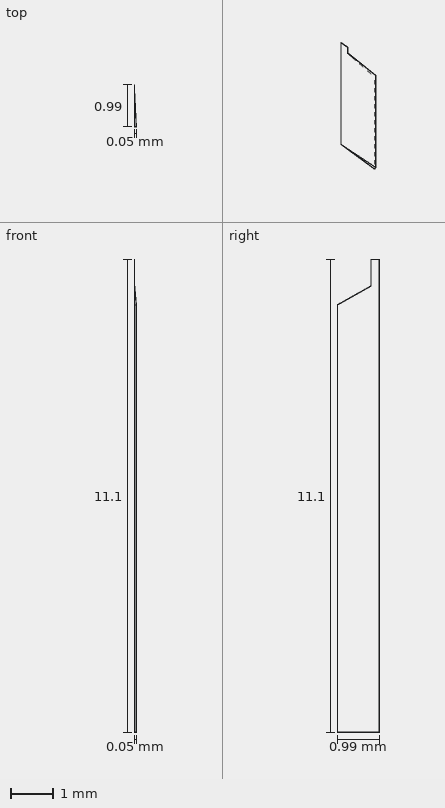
import cadquery as cq

spine_thickness = 0.05
width = 0.99
length = 11.14

tab_width = 0.2
tab_length = 0.62
shoulder_drop = 0.45

flat_face = -spine_thickness / 2
back = width / 2
front = -width / 2
bottom = -length / 2
top = length / 2
tab_front = back - tab_width
shoulder_top = top - tab_length
shoulder_bottom = shoulder_top - shoulder_drop

wedge = (
    cq.Workplane("XY", origin=(0, 0, bottom))
    .polyline([
        (flat_face, back),
        (flat_face, front),
        (flat_face + spine_thickness, front),
    ])
    .close()
    .extrude(length)
)

profile = (
    cq.Workplane("YZ", origin=(flat_face, 0, 0))
    .polyline([
        (back, bottom),
        (back, top),
        (tab_front, top),
        (tab_front, shoulder_top),
        (front, shoulder_bottom),
        (front, bottom),
    ])
    .close()
    .extrude(spine_thickness)
)

result = wedge.intersect(profile)